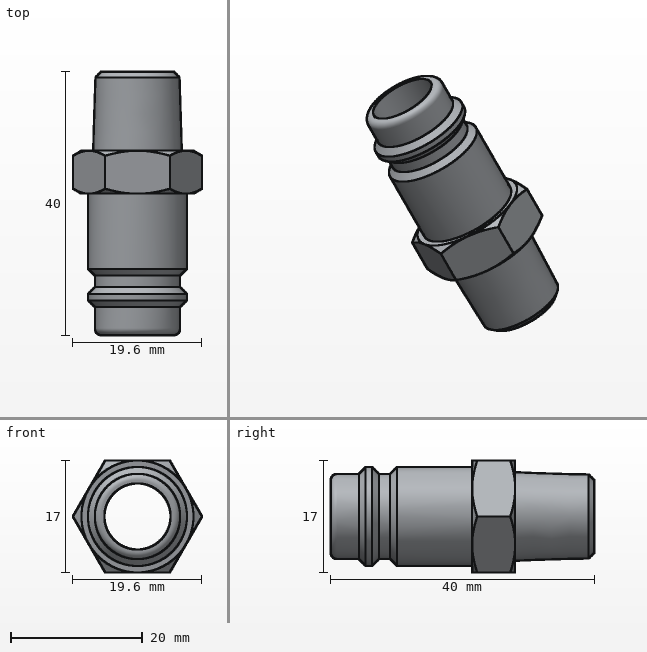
import cadquery as cq
import math

length = 40.0
bore_radius = 5.0

neck_radius = 6.5
body_radius = 7.5
bevel = body_radius - neck_radius
tip_fillet = 1.0
collar_start = 4.3
collar_land = 0.95
groove_width = 1.7

hex_start = 21.5
hex_end = 28.0
across_flats = 17.0
hex_chamfer_angle = math.radians(30)

gauge_radius = 6.55
gauge_position = 34.0
taper = 1 / 32
thread_chamfer = 0.9


def thread_radius(y):
    return gauge_radius - taper * (y - gauge_position)


def make_plug():
    """Revolved plug with a bevelled collar, a groove and the main body."""
    land_start = collar_start + bevel
    land_end = land_start + collar_land
    groove_start = land_end + bevel
    groove_end = groove_start + groove_width
    tip_arc_inset = tip_fillet * (1 - math.sqrt(0.5))
    return (
        cq.Workplane("XY")
        .lineTo(neck_radius - tip_fillet, 0)
        .threePointArc((neck_radius - tip_arc_inset, tip_arc_inset), (neck_radius, tip_fillet))
        .lineTo(neck_radius, collar_start)
        .lineTo(body_radius, land_start)
        .lineTo(body_radius, land_end)
        .lineTo(neck_radius, groove_start)
        .lineTo(neck_radius, groove_end)
        .lineTo(body_radius, groove_end + bevel)
        .lineTo(body_radius, hex_start)
        .lineTo(0, hex_start)
        .close()
        .revolve(360, (0, 0), (0, 1))
    )


def make_hexagon():
    """Hexagon with corners along X, its corners turned down at both ends."""
    flat_radius = across_flats / 2
    corner_radius = flat_radius / math.cos(math.radians(30))
    corner_drop = (corner_radius - flat_radius) * math.tan(hex_chamfer_angle)
    prism = (
        cq.Workplane("XZ", origin=(0, hex_start, 0))
        .polygon(6, 2 * corner_radius)
        .extrude(hex_start - hex_end)
    )
    chamfer_envelope = (
        cq.Workplane("XY")
        .moveTo(0, hex_start)
        .lineTo(flat_radius, hex_start)
        .lineTo(corner_radius, hex_start + corner_drop)
        .lineTo(corner_radius, hex_end - corner_drop)
        .lineTo(flat_radius, hex_end)
        .lineTo(0, hex_end)
        .close()
        .revolve(360, (0, 0), (0, 1))
    )
    return prism.intersect(chamfer_envelope)


def make_thread():
    """Tapered thread envelope with a chamfered end."""
    chamfer_start = length - thread_chamfer
    chamfer_radius = thread_radius(chamfer_start)
    return (
        cq.Workplane("XY")
        .moveTo(0, hex_end)
        .lineTo(thread_radius(hex_end), hex_end)
        .lineTo(gauge_radius, gauge_position)
        .lineTo(chamfer_radius, chamfer_start)
        .lineTo(chamfer_radius - thread_chamfer, length)
        .lineTo(0, length)
        .close()
        .revolve(360, (0, 0), (0, 1))
    )


bore = cq.Workplane("XZ").circle(bore_radius).extrude(-length)
result = make_plug().union(make_hexagon()).union(make_thread()).cut(bore)